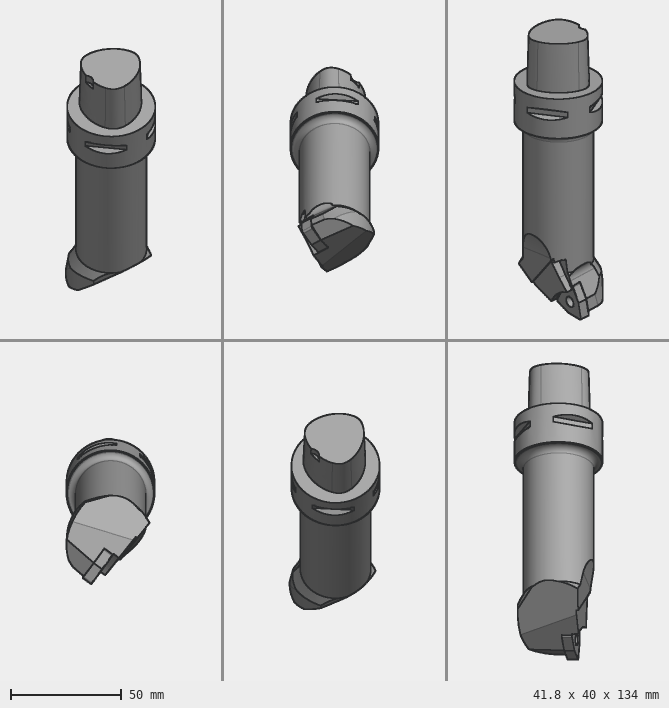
import cadquery as cq
import math


TOTAL_LENGTH = 134.0
TOTAL_WIDTH = 41.8

SHANK_LENGTH = 24.0
SHANK_BASE_RADIUS = 14.1
SHANK_TOP_RADIUS = 13.4
LOBE_HEIGHT = 1.0
NOTCH_RADIUS = 4.0
NOTCH_DEPTH = 4.0
NOTCH_BACK_Y = -11.1

FLANGE_RADIUS = 20.0
FLANGE_THICKNESS = 20.0
FLANGE_CHAMFER = 0.4
NECK_FILLET = 3.1
SLOT_CENTER_Z = -8.0
SLOT_FLOOR_DISTANCE = 17.5
SLOT_FLOOR_HEIGHT = 2.5
SLOT_MOUTH_HEIGHT = 5.2

BODY_RADIUS = 32.0 / 2
HEAD_TOP_Z = -88.2
FLARE_RADIUS = 19.4
FLARE_Z = -94.2
SKIRT_RADIUS = 21.7
SKIRT_Z = -110.2

NOSE_GAP = 0.07
TIP = cq.Vector(
    FLANGE_RADIUS - TOTAL_WIDTH - NOSE_GAP,
    0.3,
    SHANK_LENGTH - TOTAL_LENGTH - NOSE_GAP,
)
RAKE_NORMAL = cq.Vector(-0.2, 0.97, -0.1)
RELIEF_NORMAL = cq.Vector(-0.29, 1.0, -0.1)
FLUTE_NORMAL = cq.Vector(-0.23, 0.97, -0.16)
FLUTE_FLOOR_POINT = cq.Vector(4.7, 11.7, -98.5)
RUNOUT_START = 17.2
RUNOUT_RADIUS = 37.5
RUNOUT_ANGLE = 40.0
CLAMP_DROP = 0.8

BELLY_CENTER = (-1.7, 3.4)
BELLY_RADIUS = 22.2
SIDE_FLAT_ANGLE = -33.0
BACK_SLOPE_TOP_Z = -87.2

FLANK_LEAN = 24.4
GROOVE_RADIUS = 4.7
GROOVE_START = (5.1, 18.5)

INSCRIBED_RADIUS = 12.7 / 2
INSERT_THICKNESS = 4.8
INSERT_HOLE_DIAMETER = 5.1
NOSE_RADIUS = 0.8
CORNER_ANGLE = 80.0
BISECTOR_ANGLE = 45.6

CLEAR = 53.6


def tool_plane(origin, outward):
    """Plane with local X near +X, local Y near +Z and its normal pointing into the head."""
    normal = outward.normalized() * -1
    x_dir = cq.Vector(1, 0, 0) - normal * normal.x
    return cq.Plane(origin=origin, xDir=x_dir, normal=normal)


FLUTE_PLANE = tool_plane(FLUTE_FLOOR_POINT, FLUTE_NORMAL)
RAKE_PLANE = tool_plane(TIP, RAKE_NORMAL)
RELIEF_PLANE = tool_plane(TIP, RELIEF_NORMAL)


CORNER_DISTANCE = INSCRIBED_RADIUS / math.sin(math.radians(CORNER_ANGLE / 2))
MIDPOINT_DISTANCE = INSCRIBED_RADIUS / math.sin(math.radians(120 - CORNER_ANGLE / 2))


def polar(center, distance, angle):
    turn = math.radians(angle)
    return (center[0] + distance * math.cos(turn), center[1] + distance * math.sin(turn))


INSERT_CENTER = polar((0, 0), CORNER_DISTANCE, BISECTOR_ANGLE)


def insert_blank():
    points = []
    for corner in range(3):
        angle = BISECTOR_ANGLE + 180 + 120 * corner
        points.append(polar(INSERT_CENTER, CORNER_DISTANCE, angle))
        points.append(polar(INSERT_CENTER, MIDPOINT_DISTANCE, angle + 60))
    blank = cq.Workplane(RAKE_PLANE).polyline(points).close().extrude(INSERT_THICKNESS)
    for corner in points[::2]:
        blank = blank.cut(nose_edge_waste(corner))
    return blank


def nose_edge_waste(corner):
    """Sliver outside the nose round of one insert corner."""
    inward = math.degrees(math.atan2(INSERT_CENTER[1] - corner[1], INSERT_CENTER[0] - corner[0]))
    half = CORNER_ANGLE / 2
    round_center = polar(corner, NOSE_RADIUS / math.sin(math.radians(half)), inward)
    tangent = NOSE_RADIUS / math.tan(math.radians(half))
    return (
        cq.Workplane(RAKE_PLANE)
        .moveTo(*corner)
        .lineTo(*polar(corner, tangent, inward - half))
        .threePointArc(polar(round_center, NOSE_RADIUS, inward + 180), polar(corner, tangent, inward + half))
        .close()
        .extrude(INSERT_THICKNESS)
    )


def make_insert():
    hole = (
        cq.Workplane(RAKE_PLANE)
        .center(*INSERT_CENTER)
        .circle(INSERT_HOLE_DIAMETER / 2)
        .extrude(INSERT_THICKNESS)
    )
    return insert_blank().cut(hole)


def lobe_point(mean_radius, angle):
    """Point of the constant-width three-lobed curve whose normal has the given angle."""
    support = mean_radius - LOBE_HEIGHT * math.sin(3 * angle)
    slope = -3 * LOBE_HEIGHT * math.cos(3 * angle)
    return (
        support * math.cos(angle) - slope * math.sin(angle),
        support * math.sin(angle) + slope * math.cos(angle),
    )


def lobed_outline(workplane, mean_radius):
    """Three lobes and three flanks, one 60 degree stretch each."""
    for stretch in range(6):
        start = math.radians(60 * stretch)
        workplane = workplane.parametricCurve(
            lambda t, start=start: lobe_point(mean_radius, start + t),
            start=0, stop=math.pi / 3, N=12, makeWire=False,
        )
    return workplane.consolidateWires()


def make_shank():
    base = lobed_outline(cq.Workplane("XY"), SHANK_BASE_RADIUS).val()
    top = lobed_outline(cq.Workplane("XY"), SHANK_TOP_RADIUS).val().moved(
        cq.Location(cq.Vector(0, 0, SHANK_LENGTH))
    )
    shank = cq.Workplane(cq.Solid.makeLoft([base, top], True))
    notch = (
        cq.Workplane("XY", origin=(0, NOTCH_BACK_Y - NOTCH_RADIUS, SHANK_LENGTH - NOTCH_DEPTH))
        .circle(NOTCH_RADIUS)
        .extrude(NOTCH_DEPTH)
    )
    return shank.cut(notch)


def make_flange_and_body():
    fillet_top = BODY_RADIUS + NECK_FILLET
    neck_end_z = -FLANGE_THICKNESS - NECK_FILLET
    sag = NECK_FILLET * (1 - math.sqrt(0.5))
    return (
        cq.Workplane("XZ")
        .lineTo(FLANGE_RADIUS, 0)
        .lineTo(FLANGE_RADIUS, FLANGE_CHAMFER - FLANGE_THICKNESS)
        .lineTo(FLANGE_RADIUS - FLANGE_CHAMFER, -FLANGE_THICKNESS)
        .lineTo(fillet_top, -FLANGE_THICKNESS)
        .threePointArc((BODY_RADIUS + sag, -FLANGE_THICKNESS - sag), (BODY_RADIUS, neck_end_z))
        .lineTo(BODY_RADIUS, HEAD_TOP_Z)
        .lineTo(0, HEAD_TOP_Z)
        .close()
        .revolve(360, (0, 0), (0, 1))
    )


def gripper_slot(angle):
    """V-flanked slot with a flat floor, cut straight across the flange rim."""
    flare = (SLOT_MOUTH_HEIGHT - SLOT_FLOOR_HEIGHT) / 2 / (FLANGE_RADIUS - SLOT_FLOOR_DISTANCE)
    outer_distance = FLANGE_RADIUS + 1.3
    half_floor = SLOT_FLOOR_HEIGHT / 2
    half_outer = half_floor + flare * (outer_distance - SLOT_FLOOR_DISTANCE)
    return (
        cq.Workplane("XZ", origin=(0, 0, SLOT_CENTER_Z))
        .polyline([
            (SLOT_FLOOR_DISTANCE, -half_floor),
            (outer_distance, -half_outer),
            (outer_distance, half_outer),
            (SLOT_FLOOR_DISTANCE, half_floor),
        ])
        .close()
        .extrude(FLANGE_RADIUS, both=True)
        .rotate((0, 0, 0), (0, 0, 1), angle)
    )


def make_head_blank():
    cones = (
        cq.Workplane("XZ")
        .moveTo(0, HEAD_TOP_Z)
        .lineTo(BODY_RADIUS, HEAD_TOP_Z)
        .lineTo(FLARE_RADIUS, FLARE_Z)
        .lineTo(SKIRT_RADIUS, SKIRT_Z)
        .lineTo(0, SKIRT_Z)
        .close()
        .revolve(360, (0, 0), (0, 1))
    )
    belly = (
        cq.Workplane("XY", origin=(*BELLY_CENTER, SKIRT_Z))
        .circle(BELLY_RADIUS)
        .extrude(HEAD_TOP_Z - SKIRT_Z)
    )
    return cones.intersect(belly)


def side_flat():
    """Upright flat, tangent to the body, on the side of the head away from the insert."""
    return (
        cq.Workplane("XY", origin=(0, 0, SKIRT_Z))
        .transformed(rotate=(0, 0, SIDE_FLAT_ANGLE))
        .center(BODY_RADIUS + CLEAR / 2, 0)
        .rect(CLEAR, 2 * CLEAR)
        .extrude(HEAD_TOP_Z - SKIRT_Z)
    )


def back_slope():
    """45 degree slope that trims the head behind the insert."""
    return (
        cq.Workplane("XZ", origin=(BODY_RADIUS, 0, BACK_SLOPE_TOP_Z))
        .polyline([(CLEAR, CLEAR), (-CLEAR, -CLEAR), (CLEAR, -CLEAR)])
        .close()
        .extrude(CLEAR, both=True)
    )


def flank_relief():
    """Clearance beside the insert, ending upward in a shallow round groove."""
    flank_bottom = (-0.4, -5.2)
    flank_bend = (0.7, 8.7)
    groove_center = polar(GROOVE_START, GROOVE_RADIUS, 180 - FLANK_LEAN)
    groove_middle = (90 - FLANK_LEAN) / 2
    return (
        cq.Workplane(RELIEF_PLANE)
        .moveTo(*flank_bottom)
        .lineTo(*flank_bend)
        .lineTo(*GROOVE_START)
        .threePointArc(
            polar(groove_center, GROOVE_RADIUS, groove_middle),
            polar(groove_center, GROOVE_RADIUS, 90),
        )
        .lineTo(-CLEAR, groove_center[1] + GROOVE_RADIUS)
        .lineTo(-CLEAR, flank_bottom[1])
        .close()
        .extrude(CLEAR, both=True)
    )


def end_relief():
    """Clearance under the head: a small corner bevel, then a rising slope."""
    bevel_start = (-5.4, 3.6)
    bevel_end = (8.3, 1.0)
    slope_end = (35.1, 15.4)
    return (
        cq.Workplane(RELIEF_PLANE)
        .polyline([bevel_start, bevel_end, slope_end, (slope_end[0], -CLEAR), (bevel_start[0], -CLEAR)])
        .close()
        .extrude(CLEAR, both=True)
    )


def chip_pocket():
    """Space above the insert, bounded by the clamp's side and its nose."""
    ceiling_inner = (8.0, 28.7)
    clamp_top = (11.8, 27.1)
    clamp_bend = (8.3, 20.6)
    nose_start = (4.3, 14.2)
    nose_middle = (12.0, 10.5)
    nose_end = (17.7, 3.2)
    pocket_corner = (22.8, -2.7)
    return (
        cq.Workplane(RAKE_PLANE)
        .moveTo(-CLEAR, ceiling_inner[1])
        .lineTo(*ceiling_inner)
        .lineTo(*clamp_top)
        .lineTo(*clamp_bend)
        .lineTo(*nose_start)
        .threePointArc(nose_middle, nose_end)
        .lineTo(*pocket_corner)
        .lineTo(-CLEAR, pocket_corner[1])
        .close()
        .extrude(-CLEAR)
    )


def flute():
    """Sloping floor on the rake side that runs out of the body along an arc."""
    angle = math.radians(RUNOUT_ANGLE)
    arc_end = (RUNOUT_START + RUNOUT_RADIUS * math.sin(angle), RUNOUT_RADIUS * (1 - math.cos(angle)))
    arc_middle = (
        RUNOUT_START + RUNOUT_RADIUS * math.sin(angle / 2),
        RUNOUT_RADIUS * (1 - math.cos(angle / 2)),
    )
    side_plane = cq.Plane(
        origin=FLUTE_PLANE.origin, xDir=FLUTE_PLANE.yDir, normal=FLUTE_PLANE.xDir * -1
    )
    return (
        cq.Workplane(side_plane)
        .moveTo(-CLEAR, 0)
        .lineTo(RUNOUT_START, 0)
        .threePointArc(arc_middle, arc_end)
        .lineTo(arc_end[0], CLEAR)
        .lineTo(-CLEAR, CLEAR)
        .close()
        .extrude(CLEAR, both=True)
    )


def clamp_step():
    """Shallow step from the flute floor down to the clamp's top, along a 45 degree edge."""
    edge_crossing = -1.3
    return (
        cq.Workplane(FLUTE_PLANE)
        .polyline([(-CLEAR, edge_crossing + CLEAR), (CLEAR, edge_crossing - CLEAR), (-CLEAR, -CLEAR)])
        .close()
        .extrude(CLAMP_DROP)
    )


def make_holder():
    head = make_head_blank().cut(side_flat())
    holder = make_flange_and_body().union(head).union(make_shank())
    for quarter in range(4):
        holder = holder.cut(gripper_slot(45 + 90 * quarter))
    for waste in (back_slope(), flank_relief(), end_relief(), chip_pocket(), flute(), clamp_step()):
        holder = holder.cut(waste)
    return holder.cut(insert_blank())


insert = make_insert()
holder = make_holder()
result = cq.Compound.makeCompound([holder.val(), insert.val()])